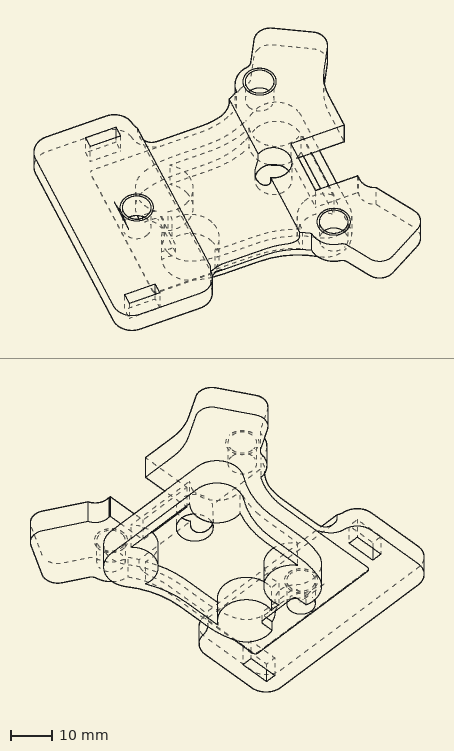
import cadquery as cq
import math

base_height = 8.0
plate_underside = 8.8
plate_top = 15.0
boss_top = 16.2
channel_floor = 10.5

front_width = 57.8
front_length = 25.8
front_corner = 5.0
clip_y = 12.5
pad_corner = 1.0
pad_root_fillet = 0.6

neck_half_width = 20.0
neck_base_fillet = 5.0
neck_flare_y = 42.1
neck_flare_radius = 20.0
neck_flare_top = 53.7

channel_front = 26.4
channel_back = 50.3
channel_fillet = 3.0

wing_angle = math.radians(30)
wing_width = 18.0
wing_corner = 4.0
wing_boss_fillet = 2.0
wing_reach_x = 37.65
wing_front_edge = 9.5
total_length = 78.95
left_back_y = 72.95
left_shoulder_fillet = 15.0
right_back_y = 69.95
right_scoop_x = 12.9
right_scoop_radius = 4.0

window_left = -3.55
window_right = 11.7
window_front = 58.8

boss_radius = 3.8
boss_flare = 2.2
boss_pad_radius = boss_radius + boss_flare
boss_hole_radius = 3.5
front_boss_y = 16.5
side_boss_x = 22.8
side_boss_y = 58.8
side_hole_floor = plate_underside
neck_hole_y = 52.65
neck_hole_radius = 4.5

slot_width = 2.85
slot_length = 8.05
slot_centres = [(-23.45, 17.7), (23.45, 7.9)]

base_wall = 2.05
base_back_y = 66.4
base_corner = 6.6
base_front_y = 20.2
lobe_radius = 7.0
waist = 15.95
waist_front_y = 32.6
waist_radius = 24.0
dip_radius = 4.8
notch_width = 11.85
notch_height = 3.1
notch_floor_y = 24.5
notch_corner = 0.9

base_corner_y = base_back_y - base_corner
flare_angle = math.asin((base_corner_y - neck_flare_y) / (waist_radius + base_corner))
base_corner_x = waist + waist_radius - (waist_radius + base_corner) * math.cos(flare_angle)
lobe_y = base_front_y + lobe_radius
taper_angle = math.asin((waist_front_y - lobe_y) / (waist_radius - lobe_radius))
lobe_x = waist - waist_radius + (waist_radius - lobe_radius) * math.cos(taper_angle)
dip_angle = math.asin(lobe_x / (lobe_radius + dip_radius))
dip_y = lobe_y - (lobe_radius + dip_radius) * math.cos(dip_angle)

front_corner_x = front_width / 2 - front_corner
front_corner_y = front_length - front_corner
neck_fillet_x = neck_half_width + neck_base_fillet
neck_fillet_angle = math.acos((neck_fillet_x - front_corner_x) / (neck_base_fillet + front_corner))
neck_fillet_y = front_corner_y + (neck_base_fillet + front_corner) * math.sin(neck_fillet_angle)

tip_spacing = wing_width - 2 * wing_corner
tip_back_y = total_length - wing_corner
tip_front_x = wing_reach_x - wing_corner
tip_mid_x = tip_front_x - tip_spacing / 2 * math.sin(wing_angle)
tip_mid_y = tip_back_y - tip_spacing / 2 * math.cos(wing_angle)


def wing_point(along, across):
    """Point on the right wing, measured outward and backward from its corner centres."""
    x = tip_mid_x + along * math.cos(wing_angle) - across * math.sin(wing_angle)
    y = tip_mid_y + along * math.sin(wing_angle) + across * math.cos(wing_angle)
    return x, y


def box(x0, x1, y0, y1, z0, z1):
    return cq.Workplane("XY").box(x1 - x0, y1 - y0, z1 - z0, centered=False).translate((x0, y0, z0))


def cylinder(x, y, radius, z0, z1):
    return cq.Workplane("XY").workplane(offset=z0).center(x, y).circle(radius).extrude(z1 - z0)


def fillet_upright(body, x, y, radius):
    """Round the vertical edge of the plate standing at (x, y)."""
    middle = (x, y, (base_height + plate_top) / 2)
    return body.edges(cq.NearestToPointSelector(middle)).fillet(radius)


def half_plate(side, back_y):
    """Neck and wing on one side of the YZ plane, with rounded wing corners."""
    root_front = wing_point(-wing_front_edge, -wing_width / 2)
    tip_front = wing_point(wing_corner, -wing_width / 2)
    tip_back = wing_point(wing_corner, wing_width / 2)
    shoulder_x = tip_back[0] - (tip_back[1] - back_y) / math.tan(wing_angle)
    flare_x = neck_half_width + neck_flare_radius

    def flare_point(y):
        return side * (flare_x - math.sqrt(neck_flare_radius**2 - (y - neck_flare_y) ** 2)), y

    def neck_fillet_point(angle):
        x = neck_fillet_x + neck_base_fillet * math.cos(angle)
        return side * x, neck_fillet_y + neck_base_fillet * math.sin(angle)

    half = (
        cq.Workplane("XY").workplane(offset=base_height)
        .moveTo(0, clip_y)
        .lineTo(side * front_corner_x, clip_y)
        .lineTo(*neck_fillet_point(math.pi + neck_fillet_angle))
        .threePointArc(neck_fillet_point(math.pi + neck_fillet_angle / 2), neck_fillet_point(math.pi))
        .lineTo(side * neck_half_width, neck_flare_y)
        .threePointArc(flare_point((neck_flare_y + neck_flare_top) / 2), flare_point(neck_flare_top))
        .lineTo(side * side_boss_x, side_boss_y)
        .lineTo(side * root_front[0], root_front[1])
        .lineTo(side * tip_front[0], tip_front[1])
        .lineTo(side * tip_back[0], tip_back[1])
        .lineTo(side * shoulder_x, back_y)
        .lineTo(0, back_y)
        .close()
        .extrude(plate_top - base_height)
    )
    half = fillet_upright(half, side * tip_front[0], tip_front[1], wing_corner)
    half = fillet_upright(half, side * tip_back[0], tip_back[1], wing_corner)
    if side < 0:
        half = fillet_upright(half, side * shoulder_x, back_y, left_shoulder_fillet)
    return half


def plate():
    """Flat plate with its window and the raised underside around the front pad."""
    body = half_plate(-1, left_back_y).union(half_plate(1, right_back_y))
    scoop_y = right_back_y + right_scoop_radius
    body = body.cut(cylinder(right_scoop_x, scoop_y, right_scoop_radius, base_height, plate_top))
    body = body.cut(box(window_left, window_right, window_front, total_length, base_height, plate_top))
    for side in (-1, 1):
        side_x = side * side_boss_x
        body = body.union(cylinder(side_x, side_boss_y, boss_pad_radius, base_height, plate_top))
        body = fillet_upright(body, side_x + side * boss_pad_radius, side_boss_y, wing_boss_fillet)

    front = box(-front_width / 2, front_width / 2, 0, front_length, base_height, plate_top)
    body = body.union(front.edges("|Z").fillet(front_corner))

    relief = box(-front_width / 2, front_width / 2, 0, neck_fillet_y, base_height, plate_underside)
    pad = box(-neck_half_width, neck_half_width, clip_y, total_length, base_height, plate_underside)
    pad = pad.edges("|Z and <Y").fillet(pad_corner)
    relief = relief.cut(pad)
    margin = 0.1
    root = cq.selectors.BoxSelector(
        (-neck_half_width - margin, clip_y - margin, plate_underside - margin),
        (neck_half_width + margin, neck_fillet_y - margin, plate_underside + margin),
    )
    relief = relief.edges(root).fillet(pad_root_fillet)
    return body.cut(relief)


def channel():
    """Trough across the neck with rounded floor corners."""
    half_span = neck_half_width + neck_flare_radius
    trough = box(-half_span, half_span, channel_front, channel_back, channel_floor, boss_top)
    return trough.edges("|X and <Z").fillet(channel_fillet)


def boss(x, y):
    """Raised hub with a concave flare running down onto the plate."""
    hub_height = boss_top - plate_top

    def flare_point(height):
        return boss_pad_radius - math.sqrt(boss_flare**2 - (boss_flare - height) ** 2), height

    profile = (
        cq.Workplane("XZ")
        .lineTo(boss_pad_radius, 0)
        .threePointArc(flare_point(hub_height / 3), flare_point(hub_height))
        .lineTo(0, hub_height)
        .close()
    )
    return profile.revolve(360, (0, 0), (0, 1)).translate((x, y, plate_top))


def base_outline():
    """Closed outline of the base, symmetric about the YZ plane, all arcs tangent."""
    flare_end = (
        base_corner_x + base_corner * math.cos(flare_angle),
        base_corner_y - base_corner * math.sin(flare_angle),
    )
    taper_end = lobe_x + lobe_radius * math.cos(taper_angle), lobe_y - lobe_radius * math.sin(taper_angle)
    dip_start = lobe_x - lobe_radius * math.sin(dip_angle), lobe_y - lobe_radius * math.cos(dip_angle)
    return (
        cq.Workplane("XY")
        .moveTo(0, base_back_y)
        .lineTo(base_corner_x, base_back_y)
        .tangentArcPoint(flare_end, relative=False)
        .tangentArcPoint((waist, neck_flare_y), relative=False)
        .lineTo(waist, waist_front_y)
        .tangentArcPoint(taper_end, relative=False)
        .tangentArcPoint(dip_start, relative=False)
        .tangentArcPoint((0, dip_y + dip_radius), relative=False)
        .mirrorY()
    )


def base():
    """Open-bottomed shell with a solid post at each rounded corner and a notch in front."""
    shell = base_outline().extrude(base_height)
    cavity = base_outline().offset2D(-base_wall).extrude(base_height)
    for side in (-1, 1):
        cavity = cavity.cut(cylinder(side * base_corner_x, base_corner_y, base_corner, 0, base_height))
        cavity = cavity.cut(cylinder(side * lobe_x, lobe_y, lobe_radius, 0, base_height))
    notch = box(-notch_width / 2, notch_width / 2, 0, notch_floor_y, 0, notch_height)
    notch = notch.edges("|Z and >Y").fillet(notch_corner)
    return shell.cut(cavity).cut(notch)


def bosses_and_holes(body):
    """Add the three flared bosses, then open their holes and the neck hole."""
    front_boss = boss(0, front_boss_y)
    front_boss = front_boss.cut(box(-boss_pad_radius, boss_pad_radius, 0, clip_y, plate_top, boss_top))
    body = body.union(front_boss)
    for side in (-1, 1):
        side_x = side * side_boss_x
        body = body.union(boss(side_x, side_boss_y))
        body = body.cut(cylinder(side_x, side_boss_y, boss_hole_radius, side_hole_floor, boss_top))
    body = body.cut(cylinder(0, front_boss_y, boss_hole_radius, 0, boss_top))
    return body.cut(cylinder(0, neck_hole_y, neck_hole_radius, 0, boss_top))


def strap_slots():
    return (
        cq.Workplane("XY").workplane(offset=base_height)
        .pushPoints(slot_centres)
        .rect(slot_width, slot_length)
        .extrude(plate_top - base_height)
    )


bracket = plate().cut(channel()).union(base())
result = bosses_and_holes(bracket).cut(strap_slots())